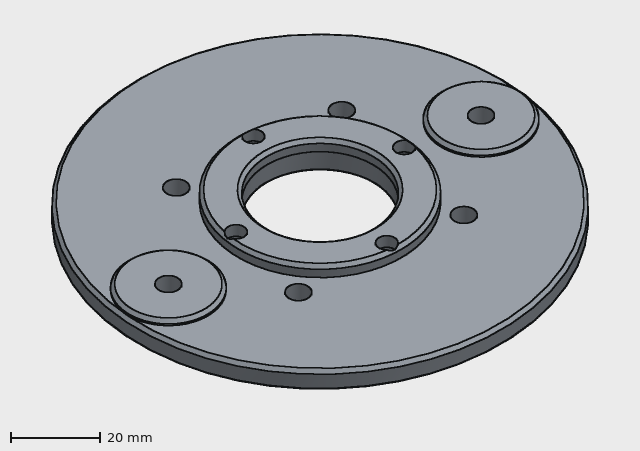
import cadquery as cq
import math

plate_diameter = 120.0
plate_thickness = 6.0
chamfer = 1.0

pad_diameter = 25.9
pad_height = 1.5
pad_circle_radius = 46.0
pad_angles = (90.0, -86.0)
plate_hole_diameter = 6.0

mounting_circle_radius = 32.5
mounting_start_angle = 43.0

hub_diameter = 54.0
hub_height = 3.4
bore_diameter = 35.0

screw_hole_diameter = 5.0
screw_circle_radius = 24.0
screw_start_angle = 0.0

holes_per_circle = 4
overall_height = plate_thickness + hub_height


def polar_point(radius, angle):
    """Point at a radius and an angle in degrees from +X."""
    return (radius * math.cos(math.radians(angle)), radius * math.sin(math.radians(angle)))


def hole_circle(radius, start_angle):
    """Evenly spaced hole centres around the plate axis."""
    step = 360.0 / holes_per_circle
    return [polar_point(radius, start_angle + i * step) for i in range(holes_per_circle)]


def through_cutters(points, diameter):
    """Cylinders through the full height of the part."""
    return cq.Workplane("XY").pushPoints(points).circle(diameter / 2).extrude(overall_height)


pad_centres = [polar_point(pad_circle_radius, angle) for angle in pad_angles]
mounting_centres = hole_circle(mounting_circle_radius, mounting_start_angle)
screw_centres = hole_circle(screw_circle_radius, screw_start_angle)

bore_cutter = through_cutters([(0, 0)], bore_diameter)
screw_cutters = through_cutters(screw_centres, screw_hole_diameter)


def make_pad(centre):
    """Low round pad with a chamfered top rim, standing on the plate."""
    return (
        cq.Workplane("XY", origin=(*centre, plate_thickness))
        .circle(pad_diameter / 2)
        .extrude(pad_height)
        .faces(">Z")
        .chamfer(chamfer)
    )


def make_plate():
    """Disc with pads and holes; both outer rims and the lower bore rim are chamfered."""
    plate = cq.Workplane("XY").circle(plate_diameter / 2).extrude(plate_thickness).cut(bore_cutter)
    rims = plate.faces(">Z").edges(cq.selectors.RadiusNthSelector(-1)).add(plate.faces("<Z").edges())
    plate = rims.chamfer(chamfer)
    for centre in pad_centres:
        plate = plate.union(make_pad(centre))
    plate = plate.cut(through_cutters(pad_centres + mounting_centres, plate_hole_diameter))
    return plate.cut(screw_cutters)


def make_hub():
    """Ring seated on the plate, with its inner and outer top rims chamfered."""
    hub = (
        cq.Workplane("XY", origin=(0, 0, plate_thickness))
        .circle(hub_diameter / 2)
        .circle(bore_diameter / 2)
        .extrude(hub_height)
        .faces(">Z")
        .edges()
        .chamfer(chamfer)
    )
    return hub.cut(screw_cutters)


plate = make_plate()
hub = make_hub()

result = cq.Compound.makeCompound([plate.solids().val(), hub.solids().val()])